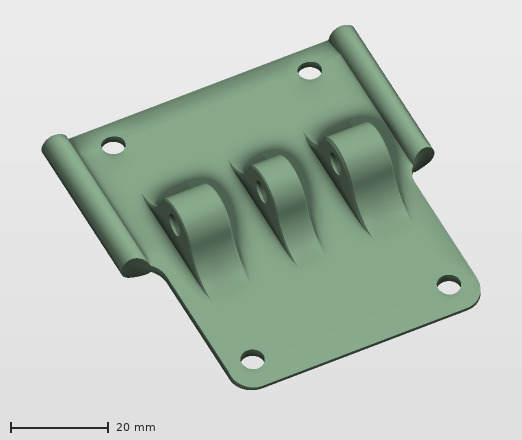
import cadquery as cq
import math

length = 77.0
width = 71.8
plate_thickness = 2.0
bevel_run = 5.7
edge_thickness = 0.8
tongue_width = 56.8
corner_radius = 5.0

rod_diameter = 6.0
rod_length = 36.95
rod_edge_chamfer = 0.3
shoulder_radius = 6.0

mount_hole_diameter = 5.0
mount_hole_inset = 6.5
mount_hole_pitch = 45.0

lug_x = 36.5
lug_top = 12.85
lug_foot_length = 32.65
lug_crown_radius = 7.2
lug_edge_chamfer = 0.3
lug_inner_chamfer = 0.55
pin_hole_diameter = 5.0
pin_hole_height = 7.9
middle_lug_width = 7.0
outer_lug_width = 10.0
outer_lug_y = 18.4

top_face = plate_thickness / 2
rod_y = (width - rod_diameter) / 2
shoulder_x = rod_length + shoulder_radius
shoulder_y = tongue_width / 2 + shoulder_radius


def make_plate():
    """Wide plate with a narrower, round-cornered tongue; both end edges are bevelled on top."""
    section = (
        cq.Workplane("XZ")
        .moveTo(0, -top_face)
        .lineTo(length, -top_face)
        .lineTo(length, edge_thickness - top_face)
        .lineTo(length - bevel_run, top_face)
        .lineTo(bevel_run, top_face)
        .lineTo(0, edge_thickness - top_face)
        .close()
        .extrude(rod_y, both=True)
    )
    tongue = (
        cq.Workplane("XY")
        .box(length, tongue_width, plate_thickness, centered=(False, True, True))
        .edges("|Z and >X")
        .fillet(corner_radius)
    )
    wide_end = cq.Workplane("XY").box(
        shoulder_x, 2 * rod_y, plate_thickness, centered=(False, True, True)
    )
    return section.intersect(tongue.union(wide_end))


def make_rod(side):
    """Round bar along one long edge of the plate."""
    return (
        cq.Workplane("YZ")
        .center(side * rod_y, 0)
        .circle(rod_diameter / 2)
        .extrude(shoulder_x)
        .faces("<X")
        .chamfer(rod_edge_chamfer)
    )


def make_shoulder_cutter(side):
    """Clears the corner beside the tongue, leaving a concave quarter-round shoulder."""
    round_part = (
        cq.Workplane("XY")
        .center(shoulder_x, side * shoulder_y)
        .circle(shoulder_radius)
        .extrude(rod_diameter, both=True)
    )
    outer_part = (
        cq.Workplane("XY")
        .center(shoulder_x, side * (shoulder_y + shoulder_radius))
        .rect(2 * shoulder_radius, 2 * shoulder_radius)
        .extrude(rod_diameter, both=True)
    )
    return round_part.union(outer_part)


def make_lug(y_min, y_max, chamfer_min, chamfer_max):
    """Bell-shaped lug: a convex crown flowing into concave flanks tangent to the plate."""
    half_foot = lug_foot_length / 2
    height = lug_top - top_face
    radius_sum = (half_foot**2 + height**2) / (2 * height)
    flank_radius = radius_sum - lug_crown_radius
    flank_angle = math.asin(half_foot / radius_sum)
    crown_z = lug_top - lug_crown_radius
    flank_z = top_face + flank_radius
    join_x = lug_crown_radius * math.sin(flank_angle)
    join_z = crown_z + lug_crown_radius * math.cos(flank_angle)
    flank_mid_x = half_foot - flank_radius * math.sin(flank_angle / 2)
    flank_mid_z = flank_z - flank_radius * math.cos(flank_angle / 2)
    body = (
        cq.Workplane("XZ", origin=(lug_x, y_max, 0))
        .moveTo(-half_foot, top_face)
        .threePointArc((-flank_mid_x, flank_mid_z), (-join_x, join_z))
        .threePointArc((0, lug_top), (join_x, join_z))
        .threePointArc((flank_mid_x, flank_mid_z), (half_foot, top_face))
        .lineTo(half_foot, 0)
        .lineTo(-half_foot, 0)
        .close()
        .extrude(y_max - y_min)
    )
    for y, size in ((y_min, chamfer_min), (y_max, chamfer_max)):
        corner_a = (lug_x - lug_foot_length, y - size / 2, 0)
        corner_b = (lug_x + lug_foot_length, y + size / 2, lug_top + lug_crown_radius)
        rim = cq.selectors.BoxSelector(corner_a, corner_b)
        body = body.edges("%CIRCLE").edges(rim).chamfer(size)
    return body


plate = make_plate()
for side in (-1, 1):
    plate = plate.union(make_rod(side)).cut(make_shoulder_cutter(side))

half_outer = outer_lug_width / 2
half_middle = middle_lug_width / 2
outer_near = outer_lug_y - half_outer
outer_far = outer_lug_y + half_outer
lugs = (
    make_lug(-half_middle, half_middle, lug_edge_chamfer, lug_edge_chamfer)
    .union(make_lug(outer_near, outer_far, lug_inner_chamfer, lug_edge_chamfer))
    .union(make_lug(-outer_far, -outer_near, lug_edge_chamfer, lug_inner_chamfer))
)
pin_hole = (
    cq.Workplane("XZ")
    .center(lug_x, pin_hole_height)
    .circle(pin_hole_diameter / 2)
    .extrude(width, both=True)
)
mount_holes = (
    cq.Workplane("XY")
    .center(length / 2, 0)
    .rect(length - 2 * mount_hole_inset, mount_hole_pitch, forConstruction=True)
    .vertices()
    .circle(mount_hole_diameter / 2)
    .extrude(plate_thickness, both=True)
)

result = plate.union(lugs).cut(pin_hole).cut(mount_holes)